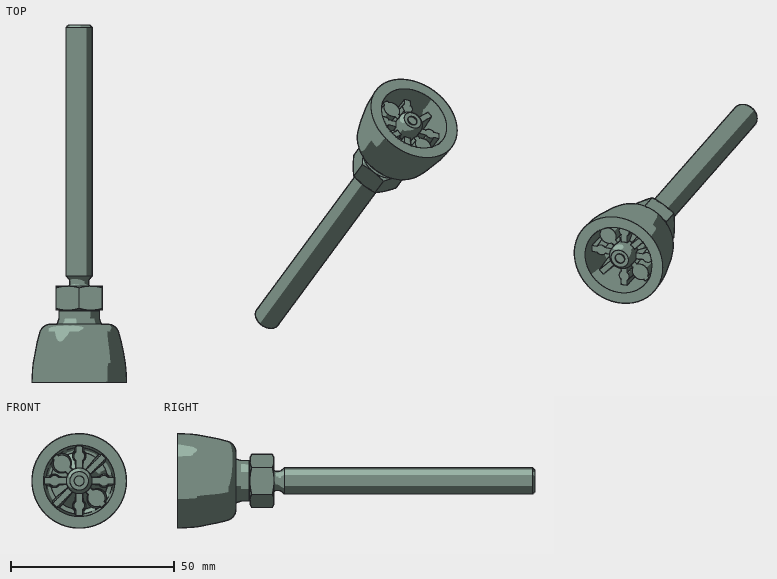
import cadquery as cq
import math

TOTAL_LENGTH = 109.6

RIM_RADIUS = 29.0 / 2
RIM_BAND = 0.3
CUP_HEIGHT = 18.0
SIDE_BREAK_RADIUS = 14.1
SIDE_BREAK_Y = 6.0
SHOULDER_RADIUS = 12.1
SHOULDER_Y = 15.7
CUP_TOP_RADIUS = 8.7

MOUTH_RADIUS = 11.0
WALL_RADIUS = 10.6
RIB_FACE_Y = 4.9
POCKET_WALL_RADIUS = 10.2
FLOOR_EDGE_RADIUS = 8.8
FLOOR_Y = 12.6
FLOOR_FILLET = POCKET_WALL_RADIUS - FLOOR_EDGE_RADIUS

HUB_RADIUS = 4.0
HUB_FACE_Y = 1.1
HUB_FACE_RADIUS = 2.8
HUB_ROUND_LENGTH = 1.9
CONE_START_Y = 6.6
HUB_HOLE_RADIUS = 1.5
HUB_HOLE_DEPTH = 0.3

BURIED = 0.9
RIB_DRAFT = 4.0
PIN_RIB_WIDTH = 2.0
PIN_RADIUS = 1.6
PIN_PLACE = 7.6
DIAGONAL_RIB_WIDTH = 1.9
BOSS_RADIUS = 2.6
BOSS_PLACE = 7.5

FLARE_RADIUS = 6.8
COLLAR_RADIUS = 6.2
COLLAR_CHAMFER = 0.3
COLLAR_START_Y = 19.6
HEX_START_Y = 22.2
HEX_END_Y = 29.6
HEX_ACROSS_FLATS = 14.2
HEX_BEVEL = 0.5
NECK_RADIUS = 3.0
NECK_START_Y = 30.2
NECK_END_Y = 31.0
NECK_ROOT_RADIUS = 3.4
CONE_TIP_RADIUS = 3.3
CONE_TIP_Y = 31.9
SHAFT_RADIUS = 4.1
SHAFT_START_Y = 32.8
SHAFT_CHAMFER = 0.8


def turned(sketch):
    """Revolve a closed X-Y half profile about the Y axis."""
    return sketch.close().revolve(360, (0, 0, 0), (0, 1, 0))


def tangent_arc_radius(length, drop):
    """Radius of an arc that leaves a line tangentially and is off it by drop after length."""
    return (length**2 + drop**2) / (2 * drop)


def at_depth(y):
    """Workplane at height y facing +Y, with local x = -X and local y = Z."""
    return cq.Workplane("XZ", origin=(0, y, 0)).transformed(rotate=(0, 180, 0))


def cup_outside():
    side_height = SIDE_BREAK_Y - RIM_BAND
    side_drop = RIM_RADIUS - SIDE_BREAK_RADIUS
    side_arc_radius = tangent_arc_radius(side_height, side_drop)
    shoulder_arc_radius = tangent_arc_radius(SHOULDER_RADIUS - CUP_TOP_RADIUS, CUP_HEIGHT - SHOULDER_Y)
    return turned(
        cq.Workplane("XY")
        .lineTo(RIM_RADIUS, 0)
        .lineTo(RIM_RADIUS, RIM_BAND)
        .radiusArc((SIDE_BREAK_RADIUS, SIDE_BREAK_Y), -side_arc_radius)
        .tangentArcPoint((SHOULDER_RADIUS, SHOULDER_Y), relative=False)
        .radiusArc((CUP_TOP_RADIUS, CUP_HEIGHT), -shoulder_arc_radius)
        .lineTo(0, CUP_HEIGHT)
    )


def cavity():
    """Mouth of the cup and the ring-shaped pocket around the conical foot of the hub."""
    hub_arc_radius = tangent_arc_radius(HUB_ROUND_LENGTH, HUB_RADIUS - HUB_FACE_RADIUS)
    return turned(
        cq.Workplane("XY")
        .lineTo(MOUTH_RADIUS, 0)
        .lineTo(WALL_RADIUS, RIB_FACE_Y)
        .lineTo(POCKET_WALL_RADIUS, FLOOR_Y - FLOOR_FILLET)
        .radiusArc((FLOOR_EDGE_RADIUS, FLOOR_Y), -FLOOR_FILLET)
        .lineTo(HUB_RADIUS, CONE_START_Y)
        .lineTo(HUB_RADIUS, HUB_FACE_Y + HUB_ROUND_LENGTH)
        .radiusArc((HUB_FACE_RADIUS, HUB_FACE_Y), hub_arc_radius)
        .lineTo(HUB_HOLE_RADIUS, HUB_FACE_Y)
        .lineTo(HUB_HOLE_RADIUS, HUB_FACE_Y + HUB_HOLE_DEPTH)
        .lineTo(0, HUB_FACE_Y + HUB_HOLE_DEPTH)
    )


def drafted(outline):
    """Extrude a rib or boss outline from its face into the floor, growing with the draft."""
    return outline.extrude(FLOOR_Y + BURIED - RIB_FACE_Y, taper=-RIB_DRAFT)


def rib(width):
    """A rib from the hub to the wall, with both ends buried."""
    start = HUB_RADIUS - BURIED
    end = WALL_RADIUS + BURIED
    return drafted(at_depth(RIB_FACE_Y).center((start + end) / 2, 0).rect(end - start, width))


def post(place, radius):
    """A round drafted pin or boss at a distance from the cup's axis."""
    return drafted(at_depth(RIB_FACE_Y).center(place, 0).circle(radius))


def stiffeners():
    """Four ribs with pins, four diagonal ribs, and bosses on one pair of diagonal ribs."""
    placed = []
    for angle in [0, 90, 180, 270]:
        placed.append((rib(PIN_RIB_WIDTH), angle))
        placed.append((post(PIN_PLACE, PIN_RADIUS), angle))
        placed.append((rib(DIAGONAL_RIB_WIDTH), angle + 45))
    for angle in [45, 225]:
        placed.append((post(BOSS_PLACE, BOSS_RADIUS), angle))
    return [piece.rotate((0, 0, 0), (0, 1, 0), angle) for piece, angle in placed]


def make_cup():
    body = cup_outside().cut(cavity())
    for piece in stiffeners():
        body = body.union(piece)
    return body


def hexagon():
    """Hexagon with corners on the Z axis, turned conical at both ends down to its flats."""
    flat_radius = HEX_ACROSS_FLATS / 2
    corner_radius = HEX_ACROSS_FLATS / math.sqrt(3)
    prism = at_depth(HEX_START_Y).polygon(6, 2 * corner_radius).extrude(HEX_END_Y - HEX_START_Y)
    prism = prism.rotate((0, 0, 0), (0, 1, 0), 90)
    envelope = turned(
        cq.Workplane("XY")
        .moveTo(0, HEX_START_Y)
        .lineTo(flat_radius, HEX_START_Y)
        .lineTo(corner_radius, HEX_START_Y + HEX_BEVEL)
        .lineTo(corner_radius, HEX_END_Y - HEX_BEVEL)
        .lineTo(flat_radius, HEX_END_Y)
        .lineTo(0, HEX_END_Y)
    )
    return prism.intersect(envelope)


def make_stud():
    root_arc_radius = tangent_arc_radius(NECK_START_Y - HEX_END_Y, NECK_ROOT_RADIUS - NECK_RADIUS)
    spindle = turned(
        cq.Workplane("XY")
        .moveTo(0, CUP_HEIGHT)
        .lineTo(FLARE_RADIUS, CUP_HEIGHT)
        .lineTo(COLLAR_RADIUS, COLLAR_START_Y)
        .lineTo(COLLAR_RADIUS, HEX_START_Y - COLLAR_CHAMFER)
        .lineTo(COLLAR_RADIUS - COLLAR_CHAMFER, HEX_START_Y)
        .lineTo(NECK_ROOT_RADIUS, HEX_START_Y)
        .lineTo(NECK_ROOT_RADIUS, HEX_END_Y)
        .radiusArc((NECK_RADIUS, NECK_START_Y), root_arc_radius)
        .lineTo(NECK_RADIUS, NECK_END_Y)
        .tangentArcPoint((CONE_TIP_RADIUS, CONE_TIP_Y), relative=False)
        .lineTo(SHAFT_RADIUS, SHAFT_START_Y)
        .lineTo(SHAFT_RADIUS, TOTAL_LENGTH - SHAFT_CHAMFER)
        .lineTo(SHAFT_RADIUS - SHAFT_CHAMFER, TOTAL_LENGTH)
        .lineTo(0, TOTAL_LENGTH)
    )
    return spindle.union(hexagon())


cup = make_cup()
stud = make_stud()
result = cq.Compound.makeCompound([cup.val(), stud.val()])